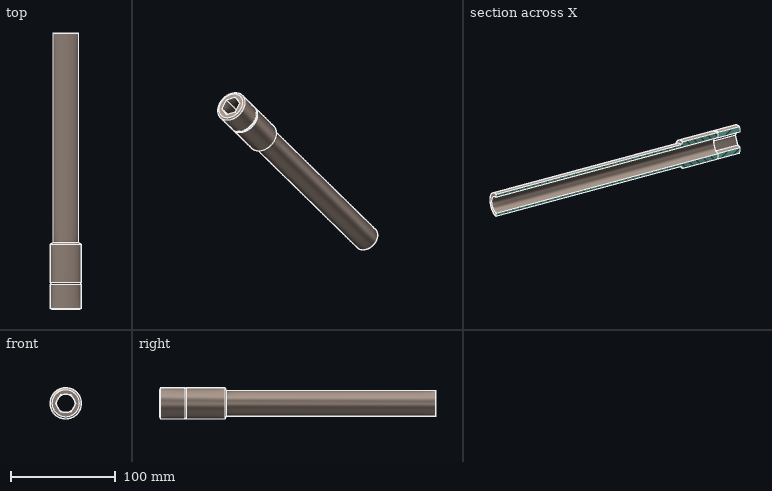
import cadquery as cq
import math

total_length = 264.0
joint_station = 24.0
shoulder_station = 64.0

outer_diameter = 30.0
shank_diameter = 24.8
bore_diameter = 17.5
hex_across_flats = 17.0

front_chamfer_length = 1.0
front_chamfer_depth = 2.0
joint_chamfer_length = 1.5
joint_chamfer_depth = 1.0
shoulder_chamfer_length = 1.5

outer_radius = outer_diameter / 2
hex_across_corners = hex_across_flats / math.cos(math.pi / 6)
shank_radius = shank_diameter / 2
front_y = -total_length / 2
joint_y = front_y + joint_station
shoulder_y = front_y + shoulder_station
rear_y = front_y + total_length


def turned_body(profile):
    """Revolve a closed (radius, y) outline about the Y axis."""
    return cq.Workplane("XY").polyline(profile).close().revolve(360, (0, 0), (0, 1))


def plane_at(y):
    """Workplane at station y whose normal points rearward (+Y)."""
    return cq.Workplane(cq.Plane(origin=(0, y, 0), xDir=(1, 0, 0), normal=(0, 1, 0)))


def make_socket():
    """Short chamfered sleeve with a hexagonal through hole, flats at top and bottom."""
    sleeve = turned_body([
        (0, front_y),
        (outer_radius - front_chamfer_depth, front_y),
        (outer_radius, front_y + front_chamfer_length),
        (outer_radius, joint_y),
        (0, joint_y),
    ])
    hexagon = (
        plane_at(front_y)
        .polygon(6, hex_across_corners)
        .extrude(joint_station)
    )
    return sleeve.cut(hexagon)


def make_handle():
    """Long tube with a thicker collar chamfered at the joint and at the shoulder."""
    tube = turned_body([
        (0, joint_y),
        (outer_radius - joint_chamfer_depth, joint_y),
        (outer_radius, joint_y + joint_chamfer_length),
        (outer_radius, shoulder_y - shoulder_chamfer_length),
        (shank_radius, shoulder_y),
        (shank_radius, rear_y),
        (0, rear_y),
    ])
    bore = plane_at(joint_y).circle(bore_diameter / 2).extrude(rear_y - joint_y)
    return tube.cut(bore)


socket = make_socket()
handle = make_handle()

result = cq.Compound.makeCompound([socket.val(), handle.val()])